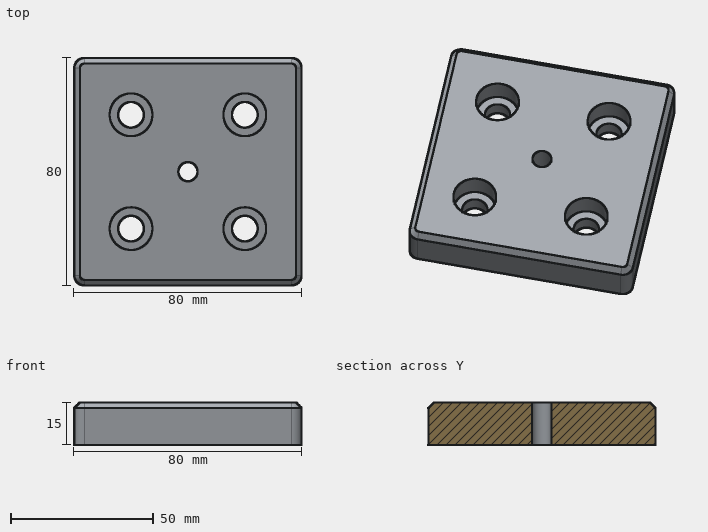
import cadquery as cq

side = 80.0
thickness = 15.0
corner_radius = 3.6
top_chamfer = 2.0

hole_spacing = side / 2
hole_diameter = 9.0
counterbore_diameter = 15.0
counterbore_depth = 9.0

center_hole_diameter = 6.6

plate = (
    cq.Workplane("XY")
    .rect(side, side)
    .extrude(thickness)
    .edges("|Z")
    .fillet(corner_radius)
    .faces(">Z")
    .edges()
    .chamfer(top_chamfer)
)

plate = (
    plate.faces(">Z")
    .workplane(origin=(0, 0, thickness))
    .rect(hole_spacing, hole_spacing, forConstruction=True)
    .vertices()
    .cboreHole(hole_diameter, counterbore_diameter, counterbore_depth)
)

result = (
    plate.faces(">Z")
    .workplane(origin=(0, 0, thickness))
    .hole(center_hole_diameter)
)